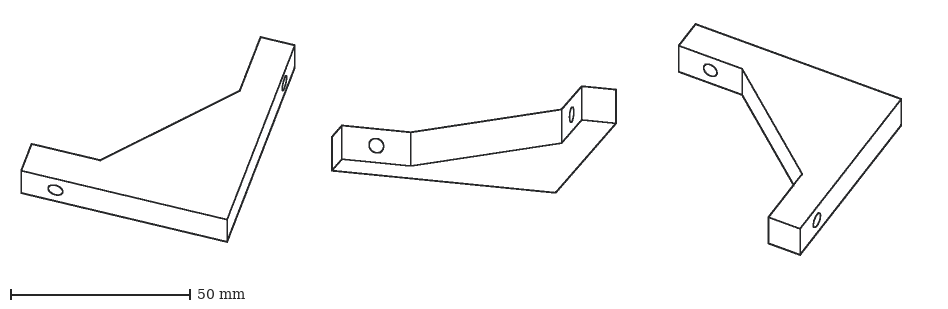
import cadquery as cq

length_x = 60.0
length_y = 65.0
bar = 10.0
arm_free_length = 2 * bar
hole_diameter = 4.2
hole_from_end = bar

arm_inner_x = length_x - bar
bracket = (
    cq.Workplane("XY")
    .polyline([
        (0, 0),
        (length_x, 0),
        (length_x, length_y),
        (arm_inner_x, length_y),
        (arm_inner_x, length_y - arm_free_length),
        (arm_free_length, bar),
        (0, bar),
    ])
    .close()
    .extrude(bar)
)


def cross_hole(start, direction):
    """Cylinder that passes through one arm at mid thickness."""
    return cq.Workplane(
        cq.Solid.makeCylinder(hole_diameter / 2, bar, cq.Vector(*start), cq.Vector(*direction))
    )


x_arm_hole = cross_hole((hole_from_end, 0, bar / 2), (0, 1, 0))
y_arm_hole = cross_hole((arm_inner_x, length_y - hole_from_end, bar / 2), (1, 0, 0))

result = bracket.cut(x_arm_hole).cut(y_arm_hole)